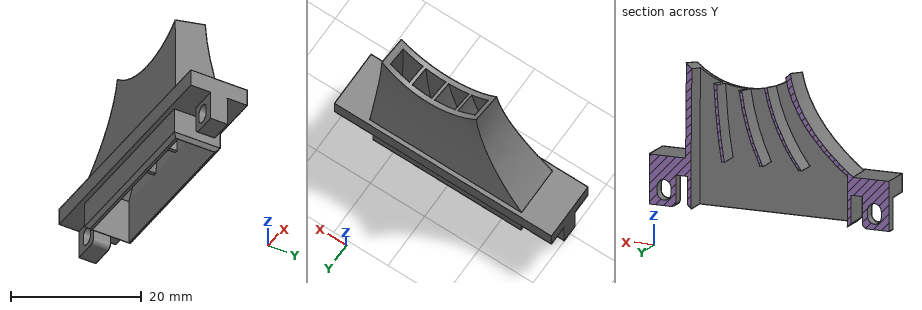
import cadquery as cq

PLATE_LENGTH = 40.0
PLATE_WIDTH = 10.0
PLATE_THICKNESS = 2.95

SKIRT_LENGTH = 27.3
SKIRT_WIDTH = 8.15
SKIRT_DEPTH = 5.05
SKIRT_Y_OFFSET = -0.15
SKIRT_CHAMFER = 0.6

TAB_LENGTH = 4.5
TAB_THICKNESS = 3.0
TAB_CORNER_RADIUS = 0.9
SLOT_EDGE_DISTANCE = 2.45
SLOT_WIDTH = 2.2
SLOT_HEIGHT = 3.2
SLOT_DEPTH_BELOW_PLATE = 2.5

HORN_LENGTH = 28.0
HORN_FRONT_Y = -4.2
HORN_BACK_Y = 4.27
HORN_HEIGHT = 16.0
HORN_TOP_LEFT_X = -3.46
HORN_TOP_BACK_Y = 1.12
HORN_TOP_RIGHT_X = 13.85
WALL = 1.0
HORN_RIGHT_X = HORN_LENGTH / 2
HORN_WIDTH = HORN_BACK_Y - HORN_FRONT_Y

CURVE_STATIONS = [
    (0.0, 0.0, 0.0),
    (3.54, 0.386, 0.318),
    (8.6, 0.762, 0.708),
    (HORN_HEIGHT, 1.0, 1.0),
]

SADDLE_X = 5.25
SADDLE_AXIS_Z = 24.11
SADDLE_FRONT_RADIUS = 13.15
SADDLE_TAPER = 0.16
SADDLE_LENGTH = 9.0

DIVIDER_THICKNESS = 0.55
DIVIDERS = [(-5.4, 0.73), (1.05, 4.93), (7.45, 8.83)]


def left_curve(base_x, top_x):
    """Points (X, Z) of a curve that leans like the left face of the horn."""
    return [(base_x + (top_x - base_x) * left, z) for z, left, _ in CURVE_STATIONS]


def back_curve(base_y, top_y):
    """Points (Y, Z) of a curve that leans like the back face of the horn."""
    return [(base_y + (top_y - base_y) * back, z) for z, _, back in CURVE_STATIONS]


def horn_body(inset):
    """Horn volume with all four sides moved inwards by the inset."""
    right = HORN_RIGHT_X - inset
    front = HORN_FRONT_Y + inset
    side_points = left_curve(-HORN_LENGTH / 2 + inset, HORN_TOP_LEFT_X + inset)
    side = (
        cq.Workplane("XZ", origin=(0, HORN_WIDTH, 0))
        .moveTo(*side_points[0])
        .spline(side_points[1:], includeCurrent=True)
        .lineTo(HORN_TOP_RIGHT_X - inset, HORN_HEIGHT)
        .lineTo(right, 0)
        .close()
        .extrude(2 * HORN_WIDTH)
    )
    back_points = back_curve(HORN_BACK_Y - inset, HORN_TOP_BACK_Y - inset)
    end = (
        cq.Workplane("YZ", origin=(-HORN_LENGTH, 0, 0))
        .moveTo(*back_points[0])
        .spline(back_points[1:], includeCurrent=True)
        .lineTo(front, HORN_HEIGHT)
        .lineTo(front, 0)
        .close()
        .extrude(2 * HORN_LENGTH)
    )
    return side.intersect(end)


def divider(base_x, top_x):
    """Curved sheet across the horn, leaning with the left face."""
    left_points = left_curve(base_x, top_x)
    right_points = [(x + DIVIDER_THICKNESS, z) for x, z in reversed(left_points)]
    return (
        cq.Workplane("XZ", origin=(0, HORN_WIDTH, 0))
        .moveTo(*left_points[0])
        .spline(left_points[1:], includeCurrent=True)
        .lineTo(*right_points[0])
        .spline(right_points[1:], includeCurrent=True)
        .close()
        .extrude(2 * HORN_WIDTH)
    )


def saddle():
    """Cone that narrows from the front of the horn towards the back."""
    back_radius = SADDLE_FRONT_RADIUS - SADDLE_TAPER * SADDLE_LENGTH
    cone = cq.Solid.makeCone(
        SADDLE_FRONT_RADIUS,
        back_radius,
        SADDLE_LENGTH,
        pnt=cq.Vector(SADDLE_X, HORN_FRONT_Y, SADDLE_AXIS_Z),
        dir=cq.Vector(0, 1, 0),
    )
    return cq.Workplane(obj=cone)


def mounting_tab():
    """Slotted tab at the left (-X) end of the plate."""
    left = -PLATE_LENGTH / 2
    tab = (
        cq.Workplane("XY", origin=(left + TAB_LENGTH / 2, 0, -PLATE_THICKNESS))
        .rect(TAB_LENGTH, TAB_THICKNESS)
        .extrude(-SKIRT_DEPTH)
        .edges("|Y and >X and <Z")
        .fillet(TAB_CORNER_RADIUS)
    )
    slot = (
        cq.Workplane("XZ")
        .center(left + SLOT_EDGE_DISTANCE, -PLATE_THICKNESS - SLOT_DEPTH_BELOW_PLATE)
        .slot2D(SLOT_HEIGHT, SLOT_WIDTH, 90)
        .extrude(TAB_THICKNESS, both=True)
    )
    return tab.cut(slot)


def base():
    """Plate, chamfered skirt and both tabs, with the open channel through them."""
    plate = cq.Workplane("XY").rect(PLATE_LENGTH, PLATE_WIDTH).extrude(-PLATE_THICKNESS)
    skirt = (
        cq.Workplane("XY", origin=(0, SKIRT_Y_OFFSET, -PLATE_THICKNESS))
        .rect(SKIRT_LENGTH, SKIRT_WIDTH)
        .extrude(-SKIRT_DEPTH)
        .faces("<Z")
        .chamfer(SKIRT_CHAMFER)
    )
    channel = (
        cq.Workplane("XY", origin=(0, (HORN_FRONT_Y + HORN_BACK_Y) / 2, 0))
        .rect(HORN_LENGTH - 2 * WALL, HORN_WIDTH - 2 * WALL)
        .extrude(-PLATE_THICKNESS - SKIRT_DEPTH)
    )
    tab = mounting_tab()
    return plate.union(skirt).union(tab).union(tab.mirror("YZ")).cut(channel)


def horn():
    """Hollow horn with dividers, cut to the saddle at the top."""
    shell = horn_body(0).cut(horn_body(WALL))
    divider_space = horn_body(WALL / 2)
    for base_x, top_x in DIVIDERS:
        shell = shell.union(divider(base_x, top_x).intersect(divider_space))
    return shell.cut(saddle())


result = base().union(horn())